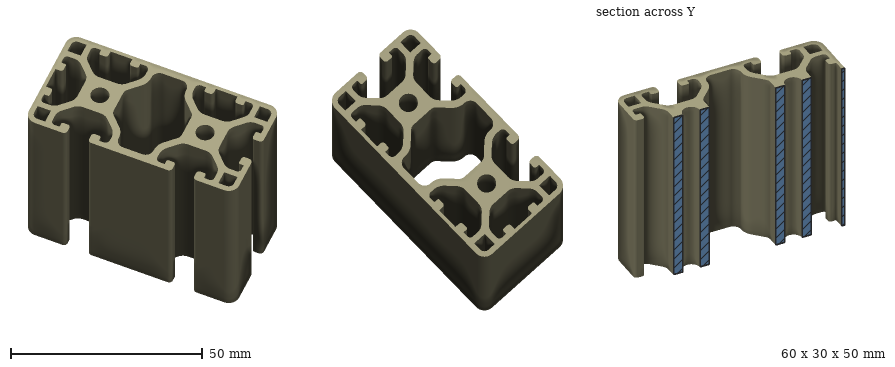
import cadquery as cq
import math

PITCH = 30.0
LENGTH = 2 * PITCH
HEIGHT = 50.0
CORNER_RADIUS = 3.0
HALF_PITCH = PITCH / 2

BORE_DIAMETER = 5.0
CORE_HALF = 5.3
WEB_THICKNESS = 2.0
WEB_OFFSET = WEB_THICKNESS / math.sqrt(2)

SLOT_WIDTH = 6.2
SLOT_HALF = SLOT_WIDTH / 2
LIP_OUTER_WIDTH = 11.2
LIP_OUTER_HALF = LIP_OUTER_WIDTH / 2
CHANNEL_HALF = 8.1
INNER_CHANNEL_HALF = 8.2
LIP_DEPTH = 3.0
WALL = 1.5
SLOT_COVER = 0.95

MOUTH_RADIUS = 1.0
LIP_SLOT_RADIUS = 0.8
LIP_CHANNEL_RADIUS = 0.5
CHANNEL_CORNER_RADIUS = 1.0
INNER_CHANNEL_CORNER_RADIUS = 1.2
CORE_CORNER_RADIUS = 3.25
WEB_END_RADIUS = 3.0
INNER_WEB_END_RADIUS = 4.0

CELL_FAR_SIDE = 5.3
CELL_RADIUS = CORNER_RADIUS - WALL

CENTRE_HALF_WIDTH = 5.0
CENTRE_WALL = 2.05
CENTRE_CORNER_RADIUS = 2.2
CENTRE_WEB_RADIUS = 4.5
CENTRE_CORE_RADIUS = 2.0


def rounded_prism(corners):
    """Full-height prism from (x, y, radius) corners; radius 0 leaves a corner sharp."""
    wire = None
    count = len(corners)
    for i, (x, y, radius) in enumerate(corners):
        corner = cq.Vector(x, y)
        before = (cq.Vector(*corners[i - 1][:2]) - corner).normalized()
        after = (cq.Vector(*corners[(i + 1) % count][:2]) - corner).normalized()
        half_angle = before.getAngle(after) / 2
        setback = radius / math.tan(half_angle)
        start = corner + before * setback
        if wire is None:
            wire = cq.Workplane("XY").moveTo(start.x, start.y)
        else:
            wire = wire.lineTo(start.x, start.y)
        if radius > 0:
            bisector = (before + after).normalized()
            middle = corner + bisector * (radius / math.sin(half_angle) - radius)
            end = corner + after * setback
            wire = wire.threePointArc((middle.x, middle.y), (end.x, end.y))
    return wire.close().extrude(HEIGHT)


def mirror_corners(corners):
    """Corners reflected in the Y axis, in an order that continues the outline."""
    return [(-x, y, radius) for x, y, radius in reversed(corners)]


def channel_half(is_open, faces_centre):
    """Right half of a channel facing +Y, from its slot down to the core."""
    lip_tip = HALF_PITCH - LIP_DEPTH
    ceiling = HALF_PITCH - WALL
    if is_open:
        flare = SLOT_HALF + 2 * MOUTH_RADIUS
        slot = [
            (flare, HALF_PITCH + WALL, 0),
            (flare, HALF_PITCH, 0),
            (SLOT_HALF, HALF_PITCH, MOUTH_RADIUS),
        ]
    else:
        slot = [(SLOT_HALF, HALF_PITCH - SLOT_COVER, 0)]
    if faces_centre:
        side = INNER_CHANNEL_HALF
        corner_radius = INNER_CHANNEL_CORNER_RADIUS
        web_end_radius = INNER_WEB_END_RADIUS
    else:
        side = CHANNEL_HALF
        corner_radius = CHANNEL_CORNER_RADIUS
        web_end_radius = WEB_END_RADIUS
    return slot + [
        (SLOT_HALF, lip_tip, LIP_SLOT_RADIUS),
        (LIP_OUTER_HALF, lip_tip, LIP_CHANNEL_RADIUS),
        (LIP_OUTER_HALF, ceiling, 0),
        (side, ceiling, corner_radius),
        (side, side + WEB_OFFSET, web_end_radius),
        (CORE_HALF - WEB_OFFSET, CORE_HALF, CORE_CORNER_RADIUS),
    ]


def channel(is_open, right_faces_centre=False, left_faces_centre=False):
    """Channel facing +Y about a core axis, with an open mouth or a covered slot."""
    right = channel_half(is_open, right_faces_centre)
    left = mirror_corners(channel_half(is_open, left_faces_centre))
    return rounded_prism(right + left)


def place(prism, angle, core_x):
    """Turn a channel about its core axis and move it to the core."""
    return prism.rotate((0, 0, 0), (0, 0, 1), angle).translate((core_x, 0, 0))


def cut_channels(body):
    """Open channels on -Y and +X; covered channels on +Y and -X."""
    for core_x in (-HALF_PITCH, HALF_PITCH):
        centre_is_right = core_x < 0
        covered = channel(False, centre_is_right, not centre_is_right)
        opened = channel(True, not centre_is_right, centre_is_right)
        body = body.cut(place(covered, 0, core_x))
        body = body.cut(place(opened, 180, core_x))
    body = body.cut(place(channel(False), 90, -HALF_PITCH))
    return body.cut(place(channel(True), -90, HALF_PITCH))


def corner_cell(side_x, side_y):
    """Square cell in one corner, rounded towards the outer corner."""
    outer_x = side_x * (LENGTH / 2 - WALL)
    inner_x = side_x * (LENGTH / 2 - CELL_FAR_SIDE)
    outer_y = side_y * (HALF_PITCH - WALL)
    inner_y = side_y * (HALF_PITCH - CELL_FAR_SIDE)
    return rounded_prism([
        (inner_x, inner_y, 0),
        (outer_x, inner_y, 0),
        (outer_x, outer_y, CELL_RADIUS),
        (inner_x, outer_y, 0),
    ])


def central_cavity():
    """Cavity that widens at mid-depth to reach both core blocks."""
    core_face = HALF_PITCH - CORE_HALF
    web_end_y = HALF_PITCH - CENTRE_HALF_WIDTH - WEB_OFFSET
    upper_right = [
        (core_face, CORE_HALF - WEB_OFFSET, CENTRE_CORE_RADIUS),
        (CENTRE_HALF_WIDTH, web_end_y, CENTRE_WEB_RADIUS),
        (CENTRE_HALF_WIDTH, HALF_PITCH - CENTRE_WALL, CENTRE_CORNER_RADIUS),
    ]
    upper = upper_right + mirror_corners(upper_right)
    lower = [(x, -y, radius) for x, y, radius in reversed(upper)]
    return rounded_prism(upper + lower)


body = cq.Workplane("XY").rect(LENGTH, PITCH).extrude(HEIGHT).edges("|Z").fillet(CORNER_RADIUS)
body = cut_channels(body)
for side_x in (-1, 1):
    for side_y in (-1, 1):
        body = body.cut(corner_cell(side_x, side_y))
body = body.cut(central_cavity())

core_axes = [(-HALF_PITCH, 0), (HALF_PITCH, 0)]
bores = cq.Workplane("XY").pushPoints(core_axes).circle(BORE_DIAMETER / 2).extrude(HEIGHT)
result = body.cut(bores)